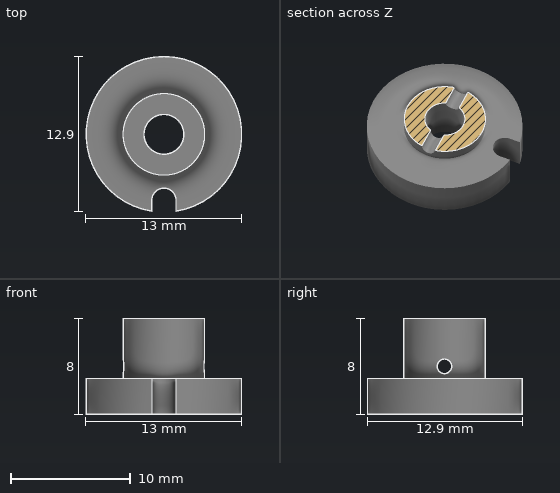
import cadquery as cq

flange_diameter = 12.98
flange_height = 3.0
hub_diameter = 6.8
total_height = 8.0
bore_diameter = 3.3
cross_hole_diameter = 1.2
cross_hole_height = 4.0
notch_width = 2.0
notch_center_radius = 5.49

flange_radius = flange_diameter / 2


def make_body():
    """Round flange with a concentric hub rising from it."""
    flange = cq.Workplane("XY").circle(flange_radius).extrude(flange_height)
    hub = cq.Workplane("XY").circle(hub_diameter / 2).extrude(total_height)
    return flange.union(hub)


def make_bore():
    """Axial bore through the hub and flange."""
    return cq.Workplane("XY").circle(bore_diameter / 2).extrude(total_height)


def make_cross_hole():
    """Pin hole along X through both walls of the hub."""
    return (
        cq.Workplane("YZ")
        .center(0, cross_hole_height)
        .circle(cross_hole_diameter / 2)
        .extrude(hub_diameter / 2, both=True)
    )


def make_notch():
    """Round-ended notch, open at the -Y rim of the flange."""
    half_width = notch_width / 2
    return (
        cq.Workplane("XY")
        .moveTo(-half_width, -flange_radius)
        .lineTo(-half_width, -notch_center_radius)
        .threePointArc((0, half_width - notch_center_radius), (half_width, -notch_center_radius))
        .lineTo(half_width, -flange_radius)
        .close()
        .extrude(flange_height)
    )


result = make_body().cut(make_bore()).cut(make_cross_hole()).cut(make_notch())